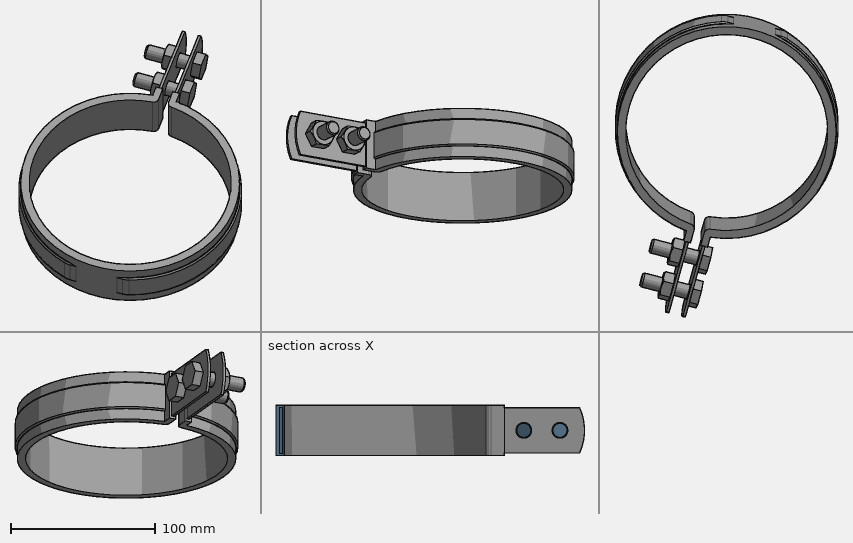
import cadquery as cq
import math


liner_inner_radius = 70.0
liner_outer_radius = 75.7
liner_height = 35.0
liner_half_gap = 3.6
liner_leg_thickness = 5.0
liner_leg_end = 82.5
liner_bend_radius = 3.6

strap_thickness = 2.0
strap_cover = 1.3
strap_height = 31.5
strap_inner_radius = liner_inner_radius + strap_cover
strap_outer_radius = strap_inner_radius + strap_thickness
strap_half_gap = liner_half_gap + strap_cover
strap_outer_face = strap_half_gap + strap_thickness
strap_bend_radius = liner_bend_radius - strap_cover
tab_end = 138.2
tab_tip_rise = 3.5
tab_hole_diameter = 11.0

pad_rise = 1.5
pad_bevel = 1.0
pad_face_height = 17.8
pad_outer_radius = liner_outer_radius + pad_rise
pad_root_radius = strap_inner_radius
pad_flat_depth = 74.2
pad_flat_start = 10.7
pad_blend_radius = 15.0
pad_start = 6.6

bolt_pitch = 25.0
outer_bolt_position = 121.0
bolt_positions = [outer_bolt_position - bolt_pitch, outer_bolt_position]
shank_diameter = 10.0
shank_tip_diameter = 8.3
shank_tip_reach = 28.7
shank_tip_length = 1.3
hex_across_flats = 17.1
head_thickness = 6.5
nut_thickness = 7.7
nut_bevel_diameter = 16.7
nut_bevel_angle = 30.0


def height_on_circle(radius, offset):
    """Distance from the centre line to a circle, at the given offset along the other axis."""
    return math.sqrt(radius**2 - offset**2)


def centred_box(x_min, x_max, y_min, y_max, height):
    """Box with the given X and Y limits, centred on Z = 0."""
    box = cq.Workplane("XY").box(x_max - x_min, y_max - y_min, height)
    return box.translate(((x_min + x_max) / 2, (y_min + y_max) / 2, 0))


def both_sides(right_half):
    """The right-hand feature together with its mirror image in the YZ plane."""
    return right_half.union(right_half.mirror("YZ"))


def open_ring(inner_radius, outer_radius, half_gap, leg_thickness, leg_end, height, bend_radius):
    """Ring split at +Y, with a straight leg along Y on each side of the gap."""
    ring = cq.Workplane("XY").circle(outer_radius).extrude(height / 2, both=True)
    leg = centred_box(half_gap, half_gap + leg_thickness, inner_radius, leg_end, height)
    bore = cq.Workplane("XY").circle(inner_radius).extrude(height, both=True)
    gap = centred_box(-half_gap, half_gap, 0, leg_end, height)
    body = ring.union(both_sides(leg)).cut(bore).cut(gap)
    corner_y = height_on_circle(inner_radius, half_gap)
    corner_zone = cq.selectors.BoxSelector(
        (-half_gap - bend_radius / 2, corner_y - bend_radius / 2, -height),
        (half_gap + bend_radius / 2, corner_y + bend_radius / 2, height),
    )
    return body.edges("|Z").edges(corner_zone).fillet(bend_radius)


def make_strap():
    """Flat strap following the ring, with two drilled tabs that end in a shallow arc."""
    strap = open_ring(
        strap_inner_radius, strap_outer_radius, strap_half_gap, strap_thickness,
        tab_end, strap_height, strap_bend_radius,
    )
    half_height = strap_height / 2
    tip_outline = (
        cq.Workplane("YZ")
        .moveTo(-tab_end, -half_height)
        .lineTo(tab_end - tab_tip_rise, -half_height)
        .threePointArc((tab_end, 0), (tab_end - tab_tip_rise, half_height))
        .lineTo(-tab_end, half_height)
        .close()
        .extrude(tab_end, both=True)
    )
    bolt_holes = (
        cq.Workplane("YZ")
        .pushPoints([(y, 0) for y in bolt_positions])
        .circle(tab_hole_diameter / 2)
        .extrude(2 * strap_outer_face, both=True)
    )
    return strap.intersect(tip_outline).cut(bolt_holes)


def make_right_pad():
    """Bevelled pad from the right leg round to a flat, blended run-out near -Y."""
    blend_centre_radius = pad_outer_radius - pad_blend_radius
    blend_centre_y = -(pad_flat_depth - pad_blend_radius)
    blend_centre_x = height_on_circle(blend_centre_radius, blend_centre_y)
    blend_start_angle = math.atan2(blend_centre_y, blend_centre_x)
    blend_middle_angle = (blend_start_angle - math.pi / 2) / 2
    blend_start = (
        pad_outer_radius * math.cos(blend_start_angle),
        pad_outer_radius * math.sin(blend_start_angle),
    )
    blend_middle = (
        blend_centre_x + pad_blend_radius * math.cos(blend_middle_angle),
        blend_centre_y + pad_blend_radius * math.sin(blend_middle_angle),
    )
    pad = (
        cq.Workplane("XY")
        .moveTo(pad_start, height_on_circle(pad_outer_radius, pad_start))
        .threePointArc((pad_outer_radius, 0), blend_start)
        .threePointArc(blend_middle, (blend_centre_x, -pad_flat_depth))
        .lineTo(pad_flat_start, -pad_flat_depth)
        .lineTo(pad_flat_start, -height_on_circle(pad_root_radius, pad_flat_start))
        .threePointArc((pad_root_radius, 0), (pad_start, height_on_circle(pad_root_radius, pad_start)))
        .close()
        .extrude(pad_face_height / 2 + pad_bevel, both=True)
    )
    return pad.faces(">Z or <Z").chamfer(pad_bevel)


def make_liner(strap):
    """Rubber liner with its raised pads, moulded around the strap."""
    liner = open_ring(
        liner_inner_radius, liner_outer_radius, liner_half_gap, liner_leg_thickness,
        liner_leg_end, liner_height, liner_bend_radius,
    )
    right_side = centred_box(0, pad_outer_radius, -pad_outer_radius, liner_leg_end, liner_height)
    right_half = liner.intersect(right_side).union(make_right_pad())
    return both_sides(right_half).cut(strap)


def hexagon(x_start, length):
    """Hexagonal prism along X with two corners on the Y axis."""
    across_corners = hex_across_flats / math.cos(math.pi / 6)
    return cq.Workplane("YZ", origin=(x_start, 0, 0)).polygon(6, across_corners).extrude(length)


def make_nut():
    """Hexagon on the left tab, its outer corners bevelled by a cone."""
    nut_outer_face = -strap_outer_face - nut_thickness
    nut = hexagon(nut_outer_face, nut_thickness)
    bevel_slope = math.tan(math.radians(nut_bevel_angle))
    cone_end_radius = nut_bevel_diameter / 2 + nut_thickness / bevel_slope
    cone = cq.Solid.makeCone(
        nut_bevel_diameter / 2, cone_end_radius, nut_thickness,
        pnt=cq.Vector(nut_outer_face, 0, 0), dir=cq.Vector(1, 0, 0),
    )
    return nut.intersect(cq.Workplane(obj=cone))


def make_bolt(y):
    """Bolt along -X with its head on the right tab and its nut on the left tab."""
    head = hexagon(strap_outer_face, head_thickness)
    shank = (
        cq.Workplane("YZ", origin=(strap_outer_face, 0, 0))
        .circle(shank_diameter / 2)
        .extrude(-shank_tip_reach - strap_outer_face)
        .faces("<X")
        .chamfer(shank_tip_length, (shank_diameter - shank_tip_diameter) / 2)
    )
    return head.union(shank).union(make_nut()).translate((0, y, 0))


strap = make_strap()
liner = make_liner(strap)
bolts = [make_bolt(y) for y in bolt_positions]

result = cq.Compound.makeCompound([liner.val(), strap.val(), *[bolt.val() for bolt in bolts]])